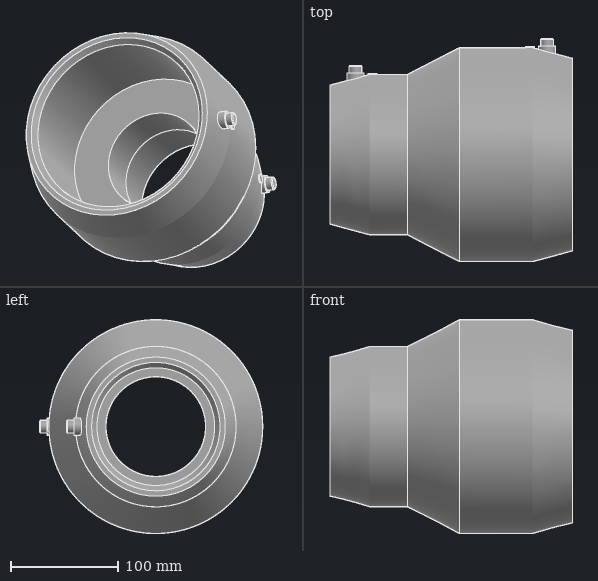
import cadquery as cq
import math

LENGTH = 227.0
SMALL_OUTER_RADIUS = 75.0
LARGE_OUTER_RADIUS = 100.0
SMALL_SOCKET_RADIUS = 55.0
LARGE_SOCKET_RADIUS = 80.0
BORE_RADIUS = 46.5

SMALL_SOCKET_END = 72.5
LARGE_SOCKET_START = 121.0

TAPER_DROP = 10.0
TAPER_ANGLE = 15.0
TAPER_LENGTH = TAPER_DROP / math.tan(math.radians(TAPER_ANGLE))
LEAD_IN = 5.0

TERMINAL_INSET = 24.0
INDICATOR_INSET = 40.0
COLLAR_DIAMETER = 16.2
COLLAR_RISE = 1.5
PIN_DIAMETER = 12.2
PIN_RISE = 8.5
PIN_CHAMFER = 1.0
INDICATOR_DIAMETER = 8.2
INDICATOR_RISE = 1.0
ROOT_DEPTH = 10.0


def revolve_about_x(points):
    """Turn a closed (x, radius) outline about the X axis, with the seam in the XY plane."""
    return cq.Workplane("XY").polyline(points).close().revolve(360, (0, 0, 0), (1, 0, 0))


def make_outside():
    return revolve_about_x(
        [
            (0, 0),
            (0, SMALL_OUTER_RADIUS - TAPER_DROP),
            (TAPER_LENGTH, SMALL_OUTER_RADIUS),
            (SMALL_SOCKET_END, SMALL_OUTER_RADIUS),
            (LARGE_SOCKET_START, LARGE_OUTER_RADIUS),
            (LENGTH - TAPER_LENGTH, LARGE_OUTER_RADIUS),
            (LENGTH, LARGE_OUTER_RADIUS - TAPER_DROP),
            (LENGTH, 0),
        ]
    )


def make_cavity():
    """Two chamfered sockets joined by the narrower bore, whose ends are the pipe stops."""
    return revolve_about_x(
        [
            (0, 0),
            (0, SMALL_SOCKET_RADIUS + LEAD_IN),
            (LEAD_IN, SMALL_SOCKET_RADIUS),
            (SMALL_SOCKET_END, SMALL_SOCKET_RADIUS),
            (SMALL_SOCKET_END, BORE_RADIUS),
            (LARGE_SOCKET_START, BORE_RADIUS),
            (LARGE_SOCKET_START, LARGE_SOCKET_RADIUS),
            (LENGTH - LEAD_IN, LARGE_SOCKET_RADIUS),
            (LENGTH, LARGE_SOCKET_RADIUS + LEAD_IN),
            (LENGTH, 0),
        ]
    )


def make_stud(x, sleeve_radius, diameter, rise):
    """Round stud along +Y, rooted inside the wall and rising above the sleeve radius."""
    return (
        cq.Workplane("XZ", origin=(x, sleeve_radius + rise, 0))
        .circle(diameter / 2)
        .extrude(ROOT_DEPTH + rise)
    )


def make_terminal(x, sleeve_radius):
    collar = make_stud(x, sleeve_radius, COLLAR_DIAMETER, COLLAR_RISE)
    pin = make_stud(x, sleeve_radius, PIN_DIAMETER, PIN_RISE).faces(">Y").chamfer(PIN_CHAMFER)
    return collar.union(pin)


def make_indicator(x, sleeve_radius):
    return make_stud(x, sleeve_radius, INDICATOR_DIAMETER, INDICATOR_RISE)


result = make_outside().cut(make_cavity())

ENDS = [
    (0.0, 1, SMALL_OUTER_RADIUS),
    (LENGTH, -1, LARGE_OUTER_RADIUS),
]
for end_x, inward, radius in ENDS:
    result = result.union(make_terminal(end_x + inward * TERMINAL_INSET, radius))
    result = result.union(make_indicator(end_x + inward * INDICATOR_INSET, radius))